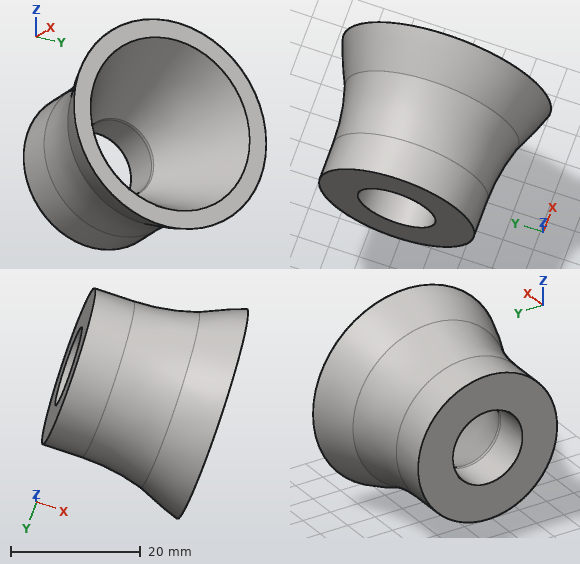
import cadquery as cq
import math

overall_length = 23.42
neck_length = 6.35
neck_diameter = 25.42
bore_diameter = 12.72
rim_diameter = 34.15

waist_length = 10.07
waist_end_diameter = 28.5

flare_bulge = 0.12

bore_lip_length = 0.58
bore_lip_end_angle = 13.0
mouth_half_angle = 25.0

neck_radius = neck_diameter / 2
bore_radius = bore_diameter / 2
rim_radius = rim_diameter / 2
waist_end = neck_length + waist_length
waist_end_radius = waist_end_diameter / 2

mouth_start = neck_length + bore_lip_length
bore_lip_rise = bore_lip_length * math.tan(math.radians(bore_lip_end_angle / 2))
mouth_start_radius = bore_radius + bore_lip_rise
mouth_rise = (overall_length - mouth_start) * math.tan(math.radians(mouth_half_angle))
mouth_end_radius = mouth_start_radius + mouth_rise


def outer_form():
    """Solid bounded by the neck, the waist and the flare."""
    half_section = (
        cq.Workplane("XY")
        .lineTo(0, neck_radius)
        .lineTo(neck_length, neck_radius)
        .tangentArcPoint((waist_end, waist_end_radius), relative=False)
        .sagittaArc((overall_length, rim_radius), flare_bulge)
        .lineTo(overall_length, 0)
        .close()
    )
    return half_section.revolve(360, (0, 0, 0), (1, 0, 0))


def bore_form():
    """Solid to remove: the bore, its curved lip and the conical mouth."""
    half_section = (
        cq.Workplane("XY")
        .lineTo(0, bore_radius)
        .lineTo(neck_length, bore_radius)
        .tangentArcPoint((mouth_start, mouth_start_radius), relative=False)
        .lineTo(overall_length, mouth_end_radius)
        .lineTo(overall_length, 0)
        .close()
    )
    return half_section.revolve(360, (0, 0, 0), (1, 0, 0))


result = outer_form().cut(bore_form())